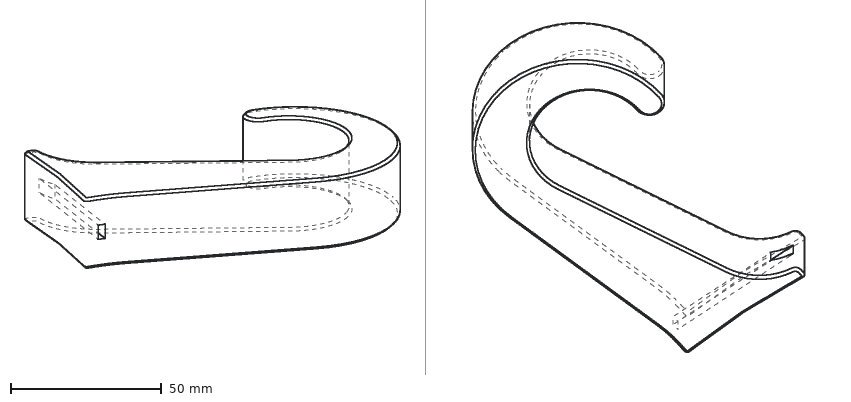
import cadquery as cq
import math

thickness = 25.0
foot_width = 50.0
foot_height = 4.9
foot_v_depth = 1.2
total_length = 120.2
outer_radius = 35.0
tip_radius = 5.0
bore_radius = 20.0
inner_line_angle = math.radians(22.3)
outer_line_angle = math.radians(11.7)
inner_blend_start = 18.3
outer_blend_radius = 50.0
foot_top_round = 2.5
corner_round = 1.1
rim_chamfer = 1.0
slot_bottom = 4.9
slot_top = 7.3
slot_width = 5.0

hook_y = total_length - outer_radius
outer_center_x = outer_radius - tip_radius
bore_center_x = tip_radius + bore_radius


def on_circle(center_x, center_y, radius, angle):
    """Point on a circle at an angle measured from +X."""
    return center_x + radius * math.cos(angle), center_y + radius * math.sin(angle)


def shank_x(tangent_point, angle, y):
    """X of a shank side at height y."""
    return tangent_point[0] - (tangent_point[1] - y) * math.tan(angle)


def inner_blend(line_end):
    """Middle of the arc tangent to the inner shank line and ending at the foot corner."""
    normal = (-math.cos(inner_line_angle), math.sin(inner_line_angle))
    dx = -line_end[0]
    dy = foot_height - line_end[1]
    radius = (dx**2 + dy**2) / (2 * (dx * normal[0] + dy * normal[1]))
    center_x = line_end[0] + radius * normal[0]
    center_y = line_end[1] + radius * normal[1]
    start_angle = math.atan2(line_end[1] - center_y, line_end[0] - center_x)
    end_angle = math.atan2(foot_height - center_y, -center_x)
    return on_circle(center_x, center_y, radius, (start_angle + end_angle) / 2)


def make_hook():
    outer_tangent = on_circle(outer_center_x, hook_y, outer_radius, -outer_line_angle)
    bore_tangent = on_circle(bore_center_x, hook_y, bore_radius, -inner_line_angle)
    inner_line_end = (shank_x(bore_tangent, inner_line_angle, inner_blend_start), inner_blend_start)

    blend_center_x = foot_width + outer_blend_radius
    corner_y = outer_tangent[1] - (outer_tangent[0] - foot_width) / math.tan(outer_line_angle)
    blend_y = corner_y - outer_blend_radius * math.tan(outer_line_angle / 2)
    blend_mid = on_circle(blend_center_x, blend_y, outer_blend_radius, math.pi - outer_line_angle / 2)
    blend_end = on_circle(blend_center_x, blend_y, outer_blend_radius, math.pi - outer_line_angle)

    return (
        cq.Workplane("XY")
        .moveTo(0, 0)
        .lineTo(foot_width / 2, foot_v_depth)
        .lineTo(foot_width, 0)
        .lineTo(foot_width, blend_y)
        .threePointArc(blend_mid, blend_end)
        .lineTo(*outer_tangent)
        .threePointArc((outer_center_x, total_length), (-tip_radius, hook_y))
        .threePointArc((0, hook_y - tip_radius), (tip_radius, hook_y))
        .threePointArc((bore_center_x, hook_y + bore_radius), bore_tangent)
        .lineTo(*inner_line_end)
        .threePointArc(inner_blend(inner_line_end), (0, foot_height))
        .close()
        .extrude(thickness)
    )


def soften_edges(hook):
    def upright_edge(x, y):
        return cq.selectors.NearestToPointSelector((x, y, thickness / 2))

    hook = hook.edges(upright_edge(0, foot_height)).fillet(foot_top_round)
    for x in (0, foot_width):
        hook = hook.edges(upright_edge(x, 0)).fillet(corner_round)
    return hook.faces("<Z or >Z").edges().chamfer(rim_chamfer)


def make_slot():
    """Rectangular strap slot running through the foot along X."""
    return (
        cq.Workplane("XY")
        .box(2 * outer_radius, slot_top - slot_bottom, slot_width, centered=(False, False, True))
        .translate((0, slot_bottom, thickness / 2))
    )


result = soften_edges(make_hook()).cut(make_slot())